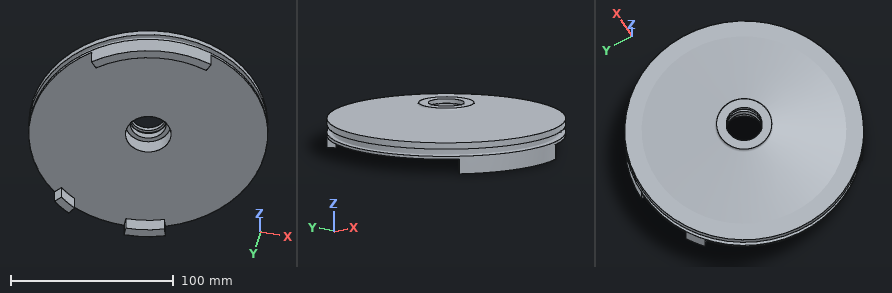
import cadquery as cq
import math

total_height = 29.5
collar_base_z = 27.8
rim_top_z = 19.7
groove_top_z = 15.7
groove_bottom_z = 11.2
rim_bottom_z = 9.3

rim_diameter = 147.0
groove_diameter = 141.3
groove_corner_radius = 0.5
cone_base_diameter = 125.8
collar_base_diameter = 37.2
collar_top_diameter = 34.0
collar_flare_radius = 1.8

bore_diameter = 22.0
ring_groove_diameter = 25.5
ring_groove_top_depth = 3.0
ring_groove_bottom_depth = 5.9
lower_bore_diameter = 28.0
lower_bore_top_depth = 10.3

lug_inner_diameter = 136.0
gap_angles = [(90, 120), (130, 230), (290, 430)]
gap_clearance = 3.0


def make_disc():
    """Revolve the grooved rim with its skirt, the shallow cone and flared collar about Z."""
    rim_radius = rim_diameter / 2
    groove_radius = groove_diameter / 2
    fillet_end_radius = groove_radius + groove_corner_radius
    lug_inner_radius = lug_inner_diameter / 2
    profile = (
        cq.Workplane("XZ")
        .moveTo(0, rim_bottom_z)
        .lineTo(lug_inner_radius, rim_bottom_z)
        .lineTo(lug_inner_radius, 0)
        .lineTo(rim_radius, 0)
        .lineTo(rim_radius, groove_bottom_z)
        .lineTo(fillet_end_radius, groove_bottom_z)
        .radiusArc((groove_radius, groove_bottom_z + groove_corner_radius), groove_corner_radius)
        .lineTo(groove_radius, groove_top_z - groove_corner_radius)
        .radiusArc((fillet_end_radius, groove_top_z), groove_corner_radius)
        .lineTo(rim_radius, groove_top_z)
        .lineTo(rim_radius, rim_top_z)
        .lineTo(cone_base_diameter / 2, rim_top_z)
        .lineTo(collar_base_diameter / 2, collar_base_z)
        .radiusArc((collar_top_diameter / 2, total_height), collar_flare_radius)
        .lineTo(0, total_height)
        .close()
    )
    return profile.revolve(360, (0, 0, 0), (0, 1, 0))


def make_cylinder(diameter, bottom_z, top_z):
    return cq.Workplane("XY").workplane(offset=bottom_z).circle(diameter / 2).extrude(top_z - bottom_z)


def make_bore():
    bore = make_cylinder(bore_diameter, 0, total_height)
    ring_groove = make_cylinder(
        ring_groove_diameter,
        total_height - ring_groove_bottom_depth,
        total_height - ring_groove_top_depth,
    )
    lower_bore = make_cylinder(lower_bore_diameter, 0, total_height - lower_bore_top_depth)
    return bore.union(ring_groove).union(lower_bore)


def polar_point(radius, angle):
    radians = math.radians(angle)
    return (radius * math.cos(radians), radius * math.sin(radians))


def make_gap(start_angle, end_angle):
    """Make a ring sector that clears the skirt up to the underside of the rim."""
    inner_radius = lug_inner_diameter / 2 - gap_clearance
    outer_radius = rim_diameter / 2 + gap_clearance
    middle_angle = (start_angle + end_angle) / 2
    return (
        cq.Workplane("XY")
        .moveTo(*polar_point(inner_radius, start_angle))
        .lineTo(*polar_point(outer_radius, start_angle))
        .threePointArc(polar_point(outer_radius, middle_angle), polar_point(outer_radius, end_angle))
        .lineTo(*polar_point(inner_radius, end_angle))
        .threePointArc(polar_point(inner_radius, middle_angle), polar_point(inner_radius, start_angle))
        .close()
        .extrude(rim_bottom_z)
    )


result = make_disc().cut(make_bore())
for start_angle, end_angle in gap_angles:
    result = result.cut(make_gap(start_angle, end_angle))